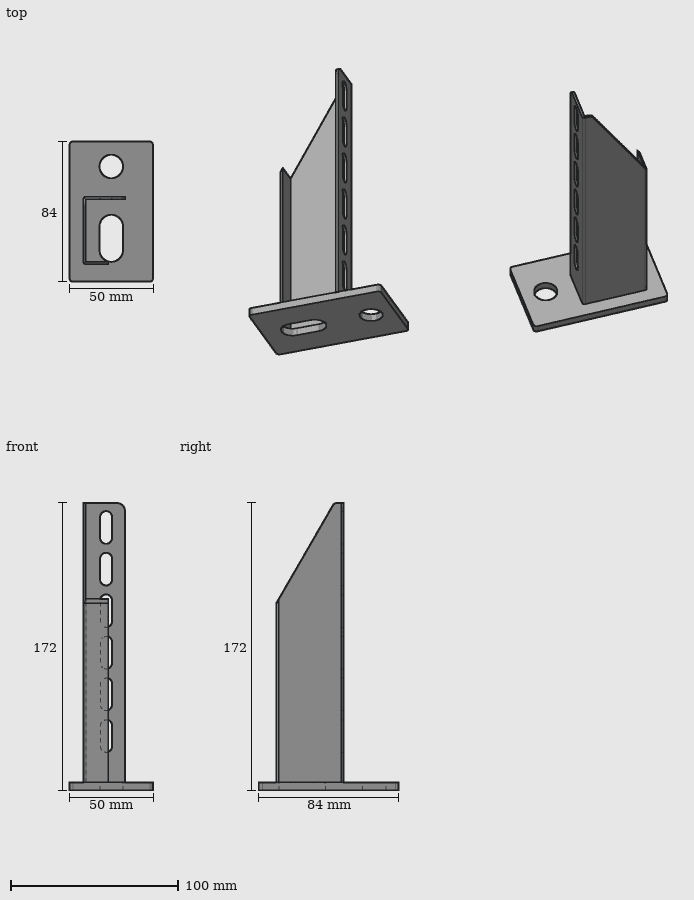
import cadquery as cq
import math

plate_width = 50.0
plate_length = 84.0
plate_thickness = 4.8
plate_corner_radius = 2.0

hole_diameter = 14.0
hole_y = 27.0
base_slot_length = 28.0
base_slot_y = -16.0

total_height = 172.0
sheet = 1.5
bend_radius = sheet
web_x = -16.7
back_y = 9.0
channel_depth = 40.5
back_flange_width = 25.0
front_flange_width = 15.0
flange_corner_radius = 5.0

slope_angle = math.radians(60)
slope_start = 5.7
slope_start_radius = 3.0

slot_count = 6
slot_width = 7.0
slot_length = 19.5
slot_pitch = 25.0
slot_top_margin = 5.0
slot_offset = 13.6

front_y = back_y - channel_depth
channel_height = total_height - plate_thickness


def make_plate():
    plate = cq.Workplane("XY").box(plate_width, plate_length, plate_thickness, centered=(True, True, False))
    plate = plate.edges("|Z").fillet(plate_corner_radius)
    plate = plate.cut(cq.Workplane("XY").center(0, hole_y).circle(hole_diameter / 2).extrude(plate_thickness))
    slot = cq.Workplane("XY").center(0, base_slot_y).slot2D(base_slot_length, hole_diameter, 90)
    return plate.cut(slot.extrude(plate_thickness))


def make_channel():
    """Sheet channel with unequal flanges, rounded only on the outside of its bends."""
    profile = (
        cq.Workplane("XY", origin=(web_x, back_y, plate_thickness))
        .moveTo(0, 0)
        .lineTo(back_flange_width, 0)
        .lineTo(back_flange_width, -sheet)
        .lineTo(sheet, -sheet)
        .lineTo(sheet, sheet - channel_depth)
        .lineTo(front_flange_width, sheet - channel_depth)
        .lineTo(front_flange_width, -channel_depth)
        .lineTo(0, -channel_depth)
        .close()
    )
    channel = profile.extrude(channel_height)
    return channel.edges("|Z and <X").fillet(bend_radius)


def make_slope_cutter():
    """Wedge above the sloping edge, with a tangent arc where the slope leaves the level top."""
    tangent = slope_start_radius * math.tan(slope_angle / 2)
    arc_start_y = back_y - slope_start + tangent
    arc_center_z = total_height - slope_start_radius

    def arc_point(angle):
        return (
            arc_start_y - slope_start_radius * math.sin(angle),
            arc_center_z + slope_start_radius * math.cos(angle),
        )

    slope_drop = (channel_depth - slope_start) * math.tan(slope_angle)
    return (
        cq.Workplane("YZ", origin=(web_x, 0, 0))
        .moveTo(arc_start_y, total_height)
        .threePointArc(arc_point(slope_angle / 2), arc_point(slope_angle))
        .lineTo(front_y, total_height - slope_drop)
        .lineTo(front_y, total_height)
        .close()
        .extrude(back_flange_width)
    )


def make_flange_slots():
    first_z = total_height - slot_top_margin - slot_length / 2
    centers = [(web_x + slot_offset, first_z - i * slot_pitch) for i in range(slot_count)]
    flange_plane = cq.Workplane("XZ", origin=(0, back_y, 0))
    return flange_plane.pushPoints(centers).slot2D(slot_length, slot_width, 90).extrude(sheet)


channel = make_channel().edges("|Y and >X and >Z").fillet(flange_corner_radius)
channel = channel.cut(make_slope_cutter()).cut(make_flange_slots())

result = make_plate().union(channel)